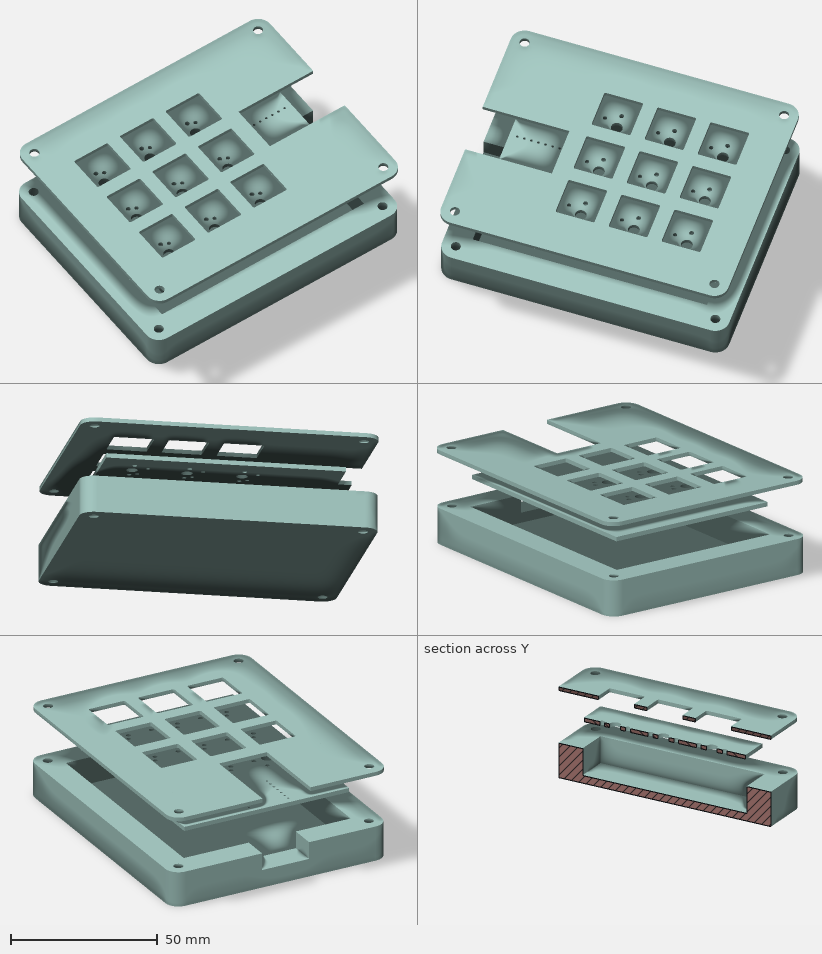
import cadquery as cq


OUTER_X = 83.7
OUTER_Y = 103.3
CORNER_RADIUS = 5.0
SCREW_HOLE_DIAMETER = 3.4
SCREW_SPACING_X = OUTER_X - 2 * CORNER_RADIUS
SCREW_SPACING_Y = OUTER_Y - 2 * CORNER_RADIUS

CASE_HEIGHT = 13.0
CASE_FLOOR = 3.0
CASE_WALL = 9.5
CABLE_SLOT_WIDTH = 18.2
CABLE_SLOT_DEPTH = 6.3
CABLE_SLOT_X = -2.0

BOARD_X = 63.8
BOARD_Y = 83.1
BOARD_THICKNESS = 1.6
BOARD_BOTTOM_Z = 22.9
BOARD_CENTER_Y = 0.2

PLATE_THICKNESS = 1.5
PLATE_BOTTOM_Z = 32.3
PLATE_CENTER_Y = 0.3
NOTCH_WIDTH = 18.5
NOTCH_DEPTH = 31.2
NOTCH_X = -2.2

KEY_PITCH = 19.1
KEYS_PER_SIDE = 3
KEY_GRID_Y = -11.5
CUTOUT_SIZE = 14.0
CUTOUT_RADIUS = 0.5

FOOTPRINT_SHIFT_X = 0.6
FOOTPRINT_SHIFT_Y = 0.4
STEM_HOLE_DIAMETER = 4.0
GUIDE_HOLE_DIAMETER = 1.7
CONTACT_HOLE_DIAMETER = 1.5

HEADER_ROW_SPACING = 15.2
LEAD_PITCH = HEADER_ROW_SPACING / 6
GUIDE_OFFSETS = [(-2 * LEAD_PITCH, 0), (2 * LEAD_PITCH, 0)]
CONTACT_OFFSETS = [(-1.5 * LEAD_PITCH, LEAD_PITCH), (LEAD_PITCH, 2 * LEAD_PITCH)]

HEADER_HOLE_DIAMETER = 0.89
HEADER_ROWS = 2
HEADER_PINS_PER_ROW = 7
HEADER_CENTER = (-2.3, 31.3)


def rounded_slab(thickness):
    """Outer outline with rounded corners and a screw hole concentric with each corner."""
    slab = (
        cq.Workplane("XY")
        .box(OUTER_X, OUTER_Y, thickness, centered=(True, True, False))
        .edges("|Z")
        .fillet(CORNER_RADIUS)
    )
    screw_holes = (
        cq.Workplane("XY")
        .rect(SCREW_SPACING_X, SCREW_SPACING_Y, forConstruction=True)
        .vertices()
        .circle(SCREW_HOLE_DIAMETER / 2)
        .extrude(thickness)
    )
    return slab.cut(screw_holes)


def key_centers():
    """Centres of the switches, measured from the middle of the case."""
    steps = [i - (KEYS_PER_SIDE - 1) / 2 for i in range(KEYS_PER_SIDE)]
    return [(KEY_PITCH * column, KEY_GRID_Y + KEY_PITCH * row) for column in steps for row in steps]


def make_case():
    """Open-topped tray with a cable slot across the top of its rear wall."""
    cavity_x = OUTER_X - 2 * CASE_WALL
    cavity_y = OUTER_Y - 2 * CASE_WALL
    cavity_depth = CASE_HEIGHT - CASE_FLOOR
    cavity = (
        cq.Workplane("XY")
        .workplane(offset=CASE_FLOOR)
        .rect(cavity_x, cavity_y)
        .extrude(cavity_depth)
    )
    cable_slot = (
        cq.Workplane("XY")
        .workplane(offset=CASE_HEIGHT - CABLE_SLOT_DEPTH)
        .center(CABLE_SLOT_X, (OUTER_Y - CASE_WALL) / 2)
        .rect(CABLE_SLOT_WIDTH, CASE_WALL)
        .extrude(CABLE_SLOT_DEPTH)
    )
    return rounded_slab(CASE_HEIGHT).cut(cavity).cut(cable_slot)


def board_holes(centers, diameter):
    """Cutters for round holes through the board."""
    return (
        cq.Workplane("XY")
        .workplane(offset=BOARD_BOTTOM_Z)
        .pushPoints(centers)
        .circle(diameter / 2)
        .extrude(BOARD_THICKNESS)
    )


def make_board():
    """Rectangular board with nine switch footprints and a controller header."""
    board = (
        cq.Workplane("XY")
        .workplane(offset=BOARD_BOTTOM_Z)
        .center(0, BOARD_CENTER_Y)
        .rect(BOARD_X, BOARD_Y)
        .extrude(BOARD_THICKNESS)
    )
    stems = [(x + FOOTPRINT_SHIFT_X, y + FOOTPRINT_SHIFT_Y) for x, y in key_centers()]
    guides = [(x + dx, y + dy) for x, y in stems for dx, dy in GUIDE_OFFSETS]
    contacts = [(x + dx, y + dy) for x, y in stems for dx, dy in CONTACT_OFFSETS]
    header_pins = (
        cq.Workplane("XY")
        .workplane(offset=BOARD_BOTTOM_Z)
        .center(*HEADER_CENTER)
        .rarray(HEADER_ROW_SPACING, LEAD_PITCH, HEADER_ROWS, HEADER_PINS_PER_ROW)
        .circle(HEADER_HOLE_DIAMETER / 2)
        .extrude(BOARD_THICKNESS)
    )
    return (
        board.cut(board_holes(stems, STEM_HOLE_DIAMETER))
        .cut(board_holes(guides, GUIDE_HOLE_DIAMETER))
        .cut(board_holes(contacts, CONTACT_HOLE_DIAMETER))
        .cut(header_pins)
    )


def make_plate():
    """Switch plate with a square cutout per key and a rear notch over the controller."""
    plate = rounded_slab(PLATE_THICKNESS).translate((0, PLATE_CENTER_Y, PLATE_BOTTOM_Z))
    notch_center_y = PLATE_CENTER_Y + (OUTER_Y - NOTCH_DEPTH) / 2
    notch = (
        cq.Workplane("XY")
        .workplane(offset=PLATE_BOTTOM_Z)
        .center(NOTCH_X, notch_center_y)
        .rect(NOTCH_WIDTH, NOTCH_DEPTH)
        .extrude(PLATE_THICKNESS)
    )
    key_cutouts = (
        cq.Workplane("XY")
        .workplane(offset=PLATE_BOTTOM_Z)
        .pushPoints(key_centers())
        .rect(CUTOUT_SIZE, CUTOUT_SIZE)
        .extrude(PLATE_THICKNESS)
        .edges("|Z")
        .fillet(CUTOUT_RADIUS)
    )
    return plate.cut(notch).cut(key_cutouts)


case = make_case()
board = make_board()
plate = make_plate()

result = cq.Compound.makeCompound([case.val(), board.val(), plate.val()])